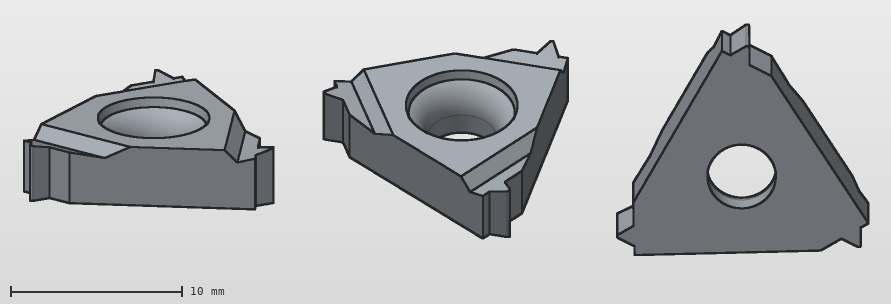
import cadquery as cq
import math

CORNERS = 3
thickness = 3.65
side_distance = 4.76
land_distance = 6.36

tooth_center_x = -3.56
tooth_half_width = 0.65
tooth_tip_radius = 0.128
tooth_flank_angle = math.radians(30)

groove_start = 4.59
groove_depth = 0.75
groove_wall_angle = math.radians(45)
rake_angle = math.radians(15)

mouth_radius = 3.25
seat_radius = 3.1
bore_radius = 2.0
mouth_depth = 0.54
bell_radius = 2.0

CLEARANCE = 1.47


def at_each_corner(body):
    """Return copies of a body turned to the three corners."""
    step = 360 / CORNERS
    return [body.rotate((0, 0, 0), (0, 0, 1), i * step) for i in range(CORNERS)]


def make_body():
    """Triangle whose corners are cut off by the lands."""
    triangle = (
        cq.Workplane("XY")
        .polygon(CORNERS, 2 * side_distance / math.cos(math.pi / CORNERS))
        .extrude(thickness)
    )
    width = 4 * side_distance
    cutter = (
        cq.Workplane("XY")
        .rect(width, width)
        .extrude(thickness)
        .translate((0, -land_distance - width / 2, 0))
    )
    for turned in at_each_corner(cutter):
        triangle = triangle.cut(turned)
    return triangle


def make_tooth():
    """Tooth with a rounded tip, rooted inside the body."""
    sharp_height = tooth_half_width / math.tan(tooth_flank_angle)
    arc_center_y = -land_distance - sharp_height + tooth_tip_radius / math.sin(tooth_flank_angle)
    tangent_x = tooth_tip_radius * math.cos(tooth_flank_angle)
    tangent_y = arc_center_y - tooth_tip_radius * math.sin(tooth_flank_angle)
    root_y = -land_distance + tooth_half_width
    left = tooth_center_x - tooth_half_width
    right = tooth_center_x + tooth_half_width
    return (
        cq.Workplane("XY")
        .moveTo(left, root_y)
        .lineTo(left, -land_distance)
        .lineTo(tooth_center_x - tangent_x, tangent_y)
        .threePointArc(
            (tooth_center_x, arc_center_y - tooth_tip_radius),
            (tooth_center_x + tangent_x, tangent_y),
        )
        .lineTo(right, -land_distance)
        .lineTo(right, root_y)
        .close()
        .extrude(thickness)
    )


def make_groove():
    """Chip groove: steep wall down, then a rake face rising past the tooth tip."""
    bottom = groove_start + groove_depth / math.tan(groove_wall_angle)
    outer = land_distance + 2 * CLEARANCE
    rake_end_z = thickness - groove_depth + (outer - bottom) * math.tan(rake_angle)
    lid_z = thickness + CLEARANCE
    length = 4 * side_distance
    return (
        cq.Workplane("YZ")
        .moveTo(-groove_start, thickness)
        .lineTo(-bottom, thickness - groove_depth)
        .lineTo(-outer, rake_end_z)
        .lineTo(-outer, lid_z)
        .lineTo(-groove_start, lid_z)
        .close()
        .extrude(length / 2, both=True)
    )


def make_hole():
    """Screw hole; the bell seat runs tangentially into the bore."""
    sweep = math.acos(1 - (seat_radius - bore_radius) / bell_radius)
    seat_z = thickness - mouth_depth
    bore_z = seat_z - bell_radius * math.sin(sweep)
    middle_r = bore_radius + bell_radius * (1 - math.cos(sweep / 2))
    middle_z = bore_z + bell_radius * math.sin(sweep / 2)
    return (
        cq.Workplane("XZ")
        .lineTo(bore_radius, 0)
        .lineTo(bore_radius, bore_z)
        .threePointArc((middle_r, middle_z), (seat_radius, seat_z))
        .lineTo(mouth_radius, thickness)
        .lineTo(0, thickness)
        .close()
        .revolve(360, (0, 0, 0), (0, 1, 0))
    )


result = make_body()
for tooth in at_each_corner(make_tooth()):
    result = result.union(tooth)
for groove in at_each_corner(make_groove()):
    result = result.cut(groove)
result = result.cut(make_hole())